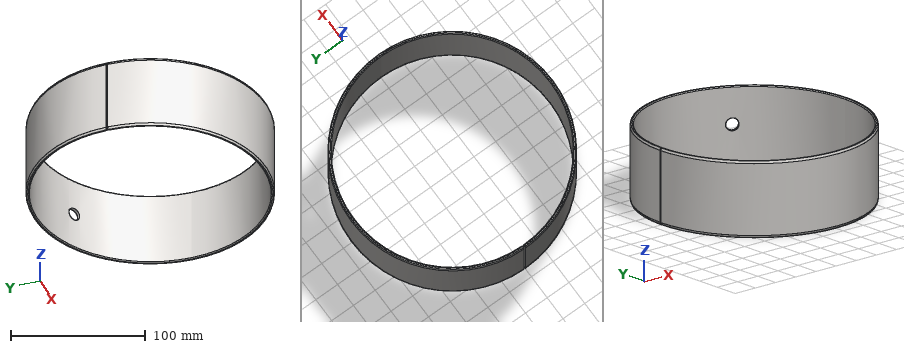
import cadquery as cq
import math

outer_diameter = 185.0
wall_thickness = 2.5
height = 60.0
outer_chamfer_height = 1.9
outer_chamfer_angle = 20.0
inner_chamfer = 0.8
slit_width = 1.2
hole_diameter = 10.0
hole_azimuth = 59.0
hole_height = height / 2

outer_radius = outer_diameter / 2
inner_radius = outer_radius - wall_thickness
outer_chamfer_depth = outer_chamfer_height * math.tan(math.radians(outer_chamfer_angle))


def make_band():
    """Thin ring standing on the XY plane, chamfered on its inner and outer rims."""
    rim_outer_radius = outer_radius - outer_chamfer_depth
    rim_inner_radius = inner_radius + inner_chamfer
    profile = [
        (rim_inner_radius, 0),
        (rim_outer_radius, 0),
        (outer_radius, outer_chamfer_height),
        (outer_radius, height - outer_chamfer_height),
        (rim_outer_radius, height),
        (rim_inner_radius, height),
        (inner_radius, height - inner_chamfer),
        (inner_radius, inner_chamfer),
    ]
    return cq.Workplane("XZ").polyline(profile).close().revolve(360, (0, 0, 0), (0, 1, 0))


def make_slit():
    """Full-height cut through the -X wall, with one side on the XZ plane and the other at +Y."""
    slit = cq.Workplane("XY").box(outer_diameter, slit_width, height, centered=(True, False, False))
    return slit.translate((-outer_radius, 0, 0))


def make_hole():
    """Radial hole at mid height, running outwards from the axis through one side of the wall."""
    hole = cq.Workplane("YZ").center(0, hole_height).circle(hole_diameter / 2).extrude(outer_diameter)
    return hole.rotate((0, 0, 0), (0, 0, 1), hole_azimuth)


result = make_band().cut(make_slit()).cut(make_hole())